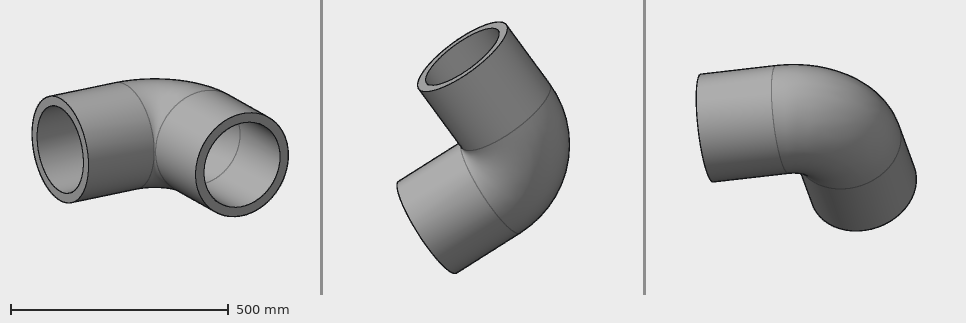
import cadquery as cq

overall_length = 429.0
outer_diameter = 250.0
bore_diameter = 204.5
straight_length = 176.7

bend_radius = overall_length - straight_length - outer_diameter / 2
bend_angle = 90


def tube_section(plane):
    """Ring-shaped pipe section, centred on the plane's origin."""
    return cq.Workplane(plane).circle(outer_diameter / 2).circle(bore_diameter / 2)


bend_axis_start = (bend_radius, 0)
bend_axis_end = (bend_radius, -1)
bend = tube_section("XZ").revolve(bend_angle, bend_axis_start, bend_axis_end)

front_leg = tube_section("XZ").extrude(straight_length)

side_leg_plane = cq.Plane(
    origin=(bend_radius, bend_radius, 0), xDir=(0, 1, 0), normal=(1, 0, 0)
)
side_leg = tube_section(side_leg_plane).extrude(straight_length)

result = bend.union(front_leg).union(side_leg)